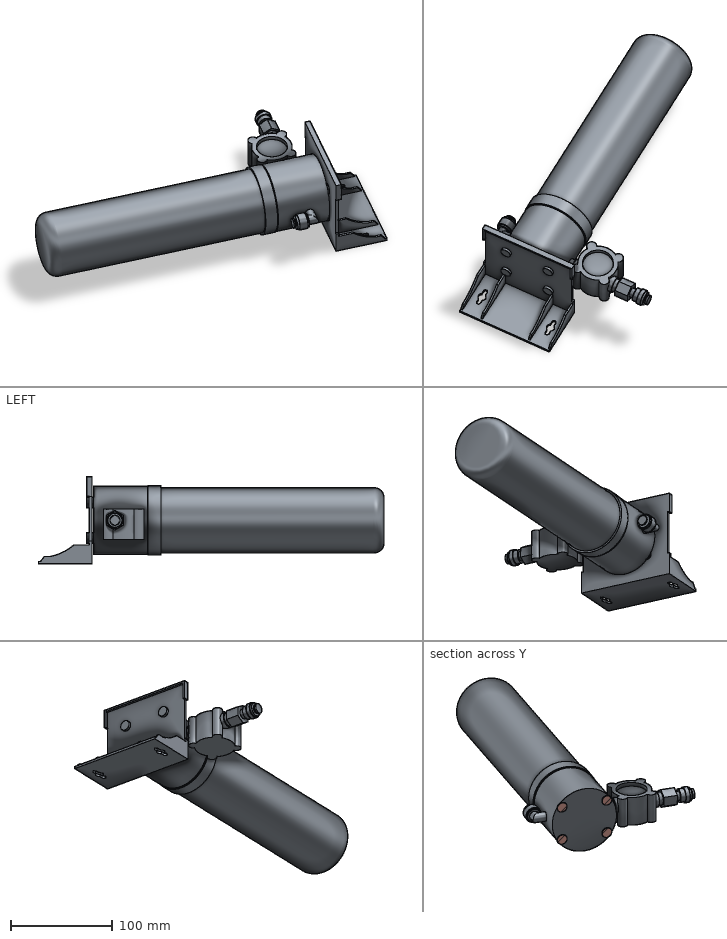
import cadquery as cq
import math


bracket_width = 100.0
bracket_height = 86.0
bracket_depth = 53.0
bracket_center_x = -0.7
plate_thickness = 3.0
base_thickness = 2.5
rim_thickness = 2.0
rim_depth = 5.5
notch_depth = 2.0
notch_bottom_z = -20.5
notch_top_z = 23.5
rib_thickness = 2.0
rib_inner_offset = 26.5
rib_top_z = -24.2
rib_shelf_z = -35.5
rib_curve_mid_y = 28.5
rib_curve_mid_z = -31.2
rib_top_end_y = 18.0
rib_shelf_start_y = 41.0
rib_shelf_end_y = 47.0
rib_end_y = 51.0
keyhole_offset_x = 38.25
keyhole_center_y = 28.3
keyhole_length = 18.5
keyhole_slot_width = 4.0
keyhole_round_diameter = 8.0
spacer_diameter = 10.5
spacer_offset_x = 23.5
spacer_offset_z = 17.5

head_gap = 1.5
head_radius = 33.75
head_length = 53.0
groove_width = 0.75
groove_depth = 0.75
collar_radius = 34.25
collar_length = 12.5
bowl_radius = 32.25
bowl_end_fillet = 10.0
overall_length = 340.75

port_y = -22.4
port_flange_diameter = 16.0
port_neck_diameter = 13.5
port_overlap = 2.0

valve_center_x = -60.3
valve_center_y = -31.0
valve_radius = 20.0
valve_height = 30.0
valve_top_z = 11.0
lobe_offset = 14.9
lobe_radius = 5.0
dial_radius = 15.2
dial_depth = 4.0
valve_flange_left_x = -83.8
valve_flange_right_x = -38.0

inlet_end_x = -121.9
hex_across_flats = 16.8
hex_length = 14.1
inlet_steps = (
    (10.0, 2.2),
    (8.5, 1.5),
    (13.8, 2.1),
    (16.0, 4.4),
    (13.8, 5.0),
    (9.6, 4.6),
)

elbow_center_x = 43.1
elbow_tube_diameter = 9.6
elbow_shoulder_y = -27.5
elbow_steps = (
    (13.8, 1.8),
    (16.0, 8.3),
    (13.8, 2.2),
    (7.0, 1.5),
    (10.0, 1.5),
)

head_back_y = -head_gap
head_front_y = head_back_y - head_length
collar_back_y = head_front_y - groove_width
collar_front_y = collar_back_y - collar_length
bowl_end_y = bracket_depth - overall_length
bracket_bottom_z = -bracket_height / 2
bracket_top_z = bracket_height / 2
base_top_z = bracket_bottom_z + base_thickness


def block(x_range, y_range, z_range):
    """Box between two limits on each axis."""
    (x0, x1), (y0, y1), (z0, z1) = x_range, y_range, z_range
    return cq.Workplane("XY").box(x1 - x0, y1 - y0, z1 - z0, centered=False).translate((x0, y0, z0))


def rod_y(radius, y_start, y_end, x=0.0, z=0.0):
    """Cylinder along Y that runs from y_start toward -Y to y_end."""
    return cq.Workplane("XZ", origin=(x, y_start, z)).circle(radius).extrude(y_start - y_end)


def rod_x(diameter, x_start, x_end):
    """Cylinder along X on the axis of the side ports."""
    return cq.Workplane("YZ", origin=(x_start, port_y, 0)).circle(diameter / 2).extrude(x_end - x_start)


def make_rib(center_x):
    """Gusset that joins the plate and the base, with a hollow curved upper edge."""
    return (
        cq.Workplane("YZ", origin=(center_x - rib_thickness / 2, 0, 0))
        .moveTo(0, bracket_bottom_z)
        .lineTo(0, rib_top_z)
        .lineTo(rib_top_end_y, rib_top_z)
        .threePointArc((rib_curve_mid_y, rib_curve_mid_z), (rib_shelf_start_y, rib_shelf_z))
        .lineTo(rib_shelf_end_y, rib_shelf_z)
        .lineTo(rib_end_y, base_top_z)
        .lineTo(rib_end_y, bracket_bottom_z)
        .close()
        .extrude(rib_thickness)
    )


def make_keyhole(center_x):
    """Hanging slot with a round opening at its middle, cut down through the base."""
    start = cq.Workplane("XY", origin=(center_x, keyhole_center_y, bracket_bottom_z))
    slot = start.slot2D(keyhole_length, keyhole_slot_width, 90).extrude(base_thickness)
    return slot.union(start.circle(keyhole_round_diameter / 2).extrude(base_thickness))


def make_bracket():
    """Wall bracket with a rimmed plate, a gusseted base and round spacers behind the head."""
    half_width = bracket_width / 2
    left_x = bracket_center_x - half_width
    right_x = bracket_center_x + half_width
    full_x = (left_x, right_x)

    plate = block(full_x, (0, plate_thickness), (bracket_bottom_z, bracket_top_z))
    base = block(full_x, (0, bracket_depth), (bracket_bottom_z, base_top_z))
    top_rim = block(full_x, (0, rim_depth), (bracket_top_z - rim_thickness, bracket_top_z))
    bracket = plate.union(base).union(top_rim)

    rib_outer_offset = half_width - rib_thickness / 2
    for side in (-1, 1):
        outer_edge = bracket_center_x + side * half_width
        edge_x = sorted((outer_edge, outer_edge - side * rim_thickness))
        notch_x = sorted((outer_edge, outer_edge - side * notch_depth))
        bracket = bracket.union(block(edge_x, (0, rim_depth), (notch_top_z, bracket_top_z)))
        for offset in (rib_inner_offset, rib_outer_offset):
            bracket = bracket.union(make_rib(bracket_center_x + side * offset))
        bracket = bracket.cut(block(notch_x, (0, rim_depth), (notch_bottom_z, notch_top_z)))
        bracket = bracket.cut(make_keyhole(bracket_center_x + side * keyhole_offset_x))
        for z in (-spacer_offset_z, spacer_offset_z):
            spacer = rod_y(spacer_diameter / 2, rim_depth, head_back_y, side * spacer_offset_x, z)
            bracket = bracket.union(spacer)
    return bracket


def make_head():
    """Plain round head between the bracket and the bowl."""
    return rod_y(head_radius, head_back_y, head_front_y)


def make_bowl():
    """Long cup with a collar at its mouth and a narrow groove against the head."""
    groove = rod_y(head_radius - groove_depth, head_front_y, collar_back_y)
    collar = rod_y(collar_radius, collar_back_y, collar_front_y)
    cup = rod_y(bowl_radius, collar_front_y, bowl_end_y).faces("<Y").edges().fillet(bowl_end_fillet)
    return groove.union(collar).union(cup)


def make_valve(head):
    """Round lobed body with a dial recess on top and a port on each side."""
    bottom = cq.Workplane("XY", origin=(valve_center_x, valve_center_y, valve_top_z - valve_height))
    body = bottom.circle(valve_radius).extrude(valve_height)
    lobe_span = 2 * lobe_offset
    lobes = bottom.rect(lobe_span, lobe_span, forConstruction=True).vertices().circle(lobe_radius)
    body = body.union(lobes.extrude(valve_height))
    flanges = rod_x(port_flange_diameter, valve_flange_left_x, valve_flange_right_x)
    outlet_neck = rod_x(port_neck_diameter, valve_flange_right_x, -head_radius + port_overlap).cut(head)
    recess_floor = cq.Workplane("XY", origin=(valve_center_x, valve_center_y, valve_top_z - dial_depth))
    recess = recess_floor.circle(dial_radius).extrude(dial_depth)
    return body.union(flanges).union(outlet_neck).cut(recess)


def make_inlet_fitting():
    """Push-in tube fitting with a hexagon nut, stepped along X."""
    left_x = inlet_end_x
    hex_left_x = inlet_end_x + sum(length for _, length in inlet_steps)
    hex_right_x = hex_left_x + hex_length
    fitting = rod_x(port_neck_diameter, hex_right_x, valve_flange_left_x)
    for diameter, length in inlet_steps:
        fitting = fitting.union(rod_x(diameter, left_x, left_x + length))
        left_x += length
    corner_diameter = hex_across_flats / math.cos(math.pi / 6)
    nut = (
        cq.Workplane("YZ", origin=(hex_left_x, port_y, 0))
        .transformed(rotate=(0, 0, 90))
        .polygon(6, corner_diameter)
        .extrude(hex_length)
    )
    return fitting.union(nut)


def make_outlet_elbow(head):
    """Mitred tube elbow that turns from +X to -Y and ends in a push-in collar."""
    tube_radius = elbow_tube_diameter / 2
    outer_x = elbow_center_x + tube_radius
    back_y = port_y + tube_radius
    miter = (
        cq.Workplane("XY", origin=(0, 0, -tube_radius))
        .moveTo(outer_x, back_y)
        .lineTo(0, back_y)
        .lineTo(0, back_y - outer_x)
        .close()
        .extrude(elbow_tube_diameter)
    )
    inlet = rod_x(elbow_tube_diameter, head_radius - port_overlap, outer_x).intersect(miter).cut(head)
    outlet = rod_y(tube_radius, back_y, elbow_shoulder_y, elbow_center_x).cut(miter)
    elbow = inlet.union(outlet)
    upper_y = elbow_shoulder_y
    for diameter, length in elbow_steps:
        elbow = elbow.union(rod_y(diameter / 2, upper_y, upper_y - length, elbow_center_x))
        upper_y -= length
    return elbow


bracket = make_bracket()
head = make_head()
bowl = make_bowl()
valve = make_valve(head)
inlet_fitting = make_inlet_fitting()
outlet_elbow = make_outlet_elbow(head)

result = cq.Compound.makeCompound([
    bracket.solids().val(),
    head.solids().val(),
    bowl.solids().val(),
    valve.solids().val(),
    inlet_fitting.solids().val(),
    outlet_elbow.solids().val(),
])